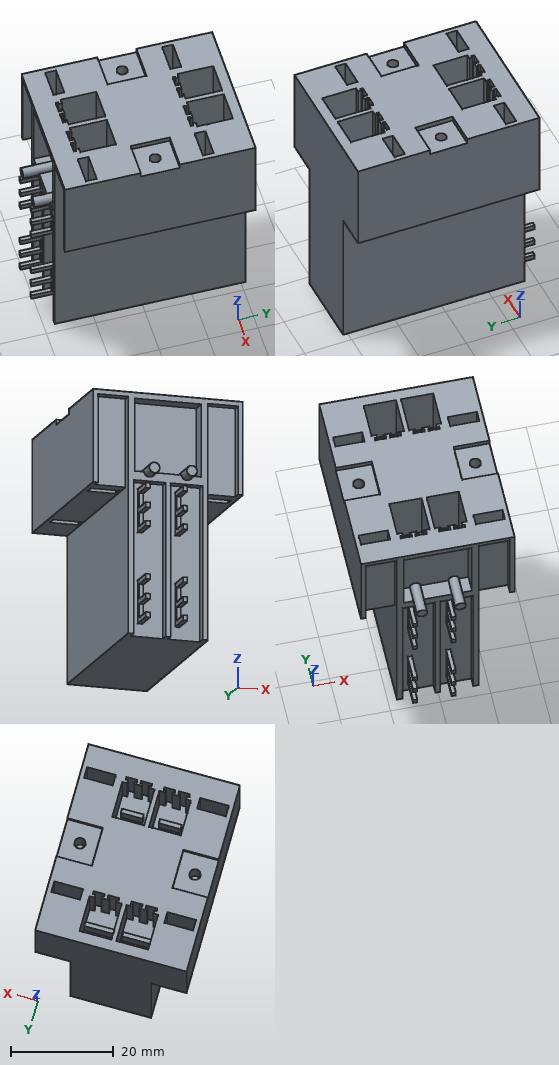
import cadquery as cq

head_width = 30.65
stem_width = 16.35
body_depth = 38.7
total_height = 48.9
head_height = 18.88
wall = 1.0

wing_width = (head_width - stem_width) / 2
wing_center_x = (head_width - wing_width) / 2
head_bottom = total_height - head_height
front_y = -body_depth / 2
back_y = body_depth / 2

channel_pitch = 7.7
sides = (-1, 1)

front_recess_depth = 1.8
window_width = 13.6
window_top_wall = 1.2
window_bottom = 32.95
window_depth = 3.33
bay_inner_x = 0.5
bay_outer_x = 7.05
bay_height = 31.15

peg_diameter = 2.1
peg_length = 3.25
peg_z = 33.05

seat_length = 7.9
seat_depth = 1.05
screw_diameter = 2.15
screw_depth = 5.85
screw_x = 11.65

slot_width = 5.8
slot_length = 2.2
slot_center_x = head_width / 2 - wall - slot_width / 2

row_pitch = 23.7
rear_socket_offset = 2.2
rear_slot_offset = 9.35
rear_socket_back_y = back_y - rear_socket_offset
rear_slot_center_y = back_y - rear_slot_offset
socket_depth = 11.75
socket_inner_x = 0.5
socket_outer_x = 6.95
socket_outer_length = 7.25
socket_inner_length = 7.5
key_lip_length = 7.85
key_length = 8.4
key_inner_x = 0.365
key_outer_x = 2.6
key_neck_inner_x = 0.8
key_neck_outer_x = 2.1

contact_thickness = 0.9
plate_offset_x = -1.35
plate_projection = 0.9
tooth_height = 1.05
tooth_drops = (0, 3.95, 7.75)
tip_y = front_y - peg_length
plate_height = tooth_drops[-1] + tooth_height
front_plate_top = 29.9
rear_plate_top = 11.4
blade_offset_y = 3.35
blade_rise = 3.9
front_blade_width = 4.4
rear_blade_width = 6.0
blade_top = total_height - socket_depth + blade_rise


def block(x_range, y_range, z_range):
    """A box given by its two limits along each axis."""
    (x0, x1), (y0, y1), (z0, z1) = (sorted(limits) for limits in (x_range, y_range, z_range))
    return cq.Workplane("XY").box(x1 - x0, y1 - y0, z1 - z0, centered=False).translate((x0, y0, z0))


def centered_range(center, size):
    return center - size / 2, center + size / 2


def channel_x(side):
    return side * channel_pitch / 2


def make_shell():
    head = block(
        centered_range(0, head_width), (front_y, back_y), (head_bottom, total_height)
    )
    stem = block(centered_range(0, stem_width), (front_y, back_y), (0, head_bottom))
    return head.union(stem)


def front_recesses():
    """The central window, and on each side a recess in the wing and a bay in the stem."""
    cuts = block(
        centered_range(0, window_width),
        (front_y, front_y + window_depth),
        (window_bottom, total_height - window_top_wall),
    )
    recess_y = (front_y, front_y + front_recess_depth)
    for side in sides:
        wing_x = (side * stem_width / 2, side * (head_width / 2 - wall))
        bay_x = (side * bay_inner_x, side * bay_outer_x)
        cuts = cuts.union(block(wing_x, recess_y, (head_bottom, total_height - wall)))
        cuts = cuts.union(block(bay_x, recess_y, (0, bay_height)))
    return cuts


def screw_seat(side):
    seat_floor = total_height - seat_depth
    seat = block(
        centered_range(side * wing_center_x, wing_width),
        centered_range(0, seat_length),
        (seat_floor, total_height),
    )
    hole = (
        cq.Workplane("XY", origin=(side * screw_x, 0, seat_floor))
        .circle(screw_diameter / 2)
        .extrude(-screw_depth)
    )
    return seat.union(hole)


def wing_slot(side, center_y):
    return block(
        centered_range(side * slot_center_x, slot_width),
        centered_range(center_y, slot_length),
        (head_bottom, total_height),
    )


def socket(side, socket_back_y):
    """A deep pocket whose front edge has a step and two T-shaped key slots."""
    floor = total_height - socket_depth
    depth = (floor, total_height)
    center_x = channel_x(side)
    step_x = center_x + side * key_neck_outer_x
    lip_y = socket_back_y - key_lip_length
    pocket = block(
        (side * socket_inner_x, step_x), (socket_back_y, socket_back_y - socket_inner_length), depth
    ).union(
        block(
            (step_x, side * socket_outer_x), (socket_back_y, socket_back_y - socket_outer_length), depth
        )
    )
    for key_side in sides:
        neck_x = (center_x + key_side * key_neck_inner_x, center_x + key_side * key_neck_outer_x)
        key_x = (center_x + key_side * key_inner_x, center_x + key_side * key_outer_x)
        pocket = pocket.union(block(neck_x, (socket_back_y - socket_outer_length, lip_y), depth))
        pocket = pocket.union(block(key_x, (lip_y, socket_back_y - key_length), depth))
    return pocket


def make_peg(side):
    """A round peg from the window's back wall out past the front face."""
    return (
        cq.Workplane("XZ", origin=(channel_x(side), front_y + window_depth, peg_z))
        .circle(peg_diameter / 2)
        .extrude(window_depth + peg_length)
    )


def make_contact(side, socket_back_y, plate_top, blade_width):
    plate_x = centered_range(channel_x(side) + plate_offset_x, contact_thickness)
    plate_front_y = front_y + front_recess_depth - plate_projection
    plate_bottom = plate_top - plate_height
    blade_y = centered_range(socket_back_y - blade_offset_y, contact_thickness)
    contact = block(plate_x, (plate_front_y, blade_y[1]), (plate_bottom, plate_top))
    for drop in tooth_drops:
        tooth_top = plate_top - drop
        contact = contact.union(
            block(plate_x, (tip_y, plate_front_y), (tooth_top - tooth_height, tooth_top))
        )
    blade = block(
        centered_range(channel_x(side), blade_width), blade_y, (plate_bottom, blade_top)
    )
    return contact.union(blade)


def make_housing(contacts):
    housing = make_shell().cut(front_recesses())
    for side in sides:
        housing = housing.cut(screw_seat(side))
        for row_shift in (0, -row_pitch):
            housing = housing.cut(wing_slot(side, rear_slot_center_y + row_shift))
            housing = housing.cut(socket(side, rear_socket_back_y + row_shift))
        housing = housing.union(make_peg(side))
    for contact in contacts:
        housing = housing.cut(contact)
    return housing


contacts = []
for side in sides:
    contacts.append(
        make_contact(side, rear_socket_back_y - row_pitch, front_plate_top, front_blade_width)
    )
    contacts.append(make_contact(side, rear_socket_back_y, rear_plate_top, rear_blade_width))

housing = make_housing(contacts)

result = cq.Compound.makeCompound([housing.val(), *[contact.val() for contact in contacts]])